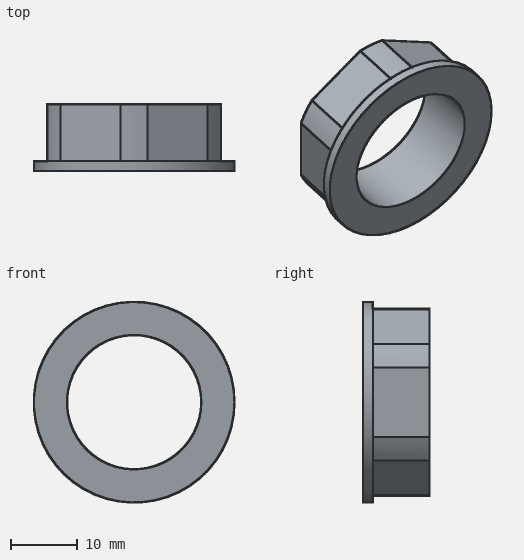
import cadquery as cq
import math

flange_diameter = 30.0
flange_thickness = 1.5
total_length = 10.0
bore_diameter = 20.0
across_flats = 26.0
corner_diameter = 28.0

hexagon_diameter = across_flats / math.cos(math.pi / 6)


def cylinder(diameter, length):
    """Solid cylinder from the flange face (Y = 0) toward +Y."""
    return cq.Workplane("XZ").circle(diameter / 2).extrude(-length)


def hexagonal_body():
    """Hexagon with flats facing +X and -X and corners trimmed to a circle."""
    hexagon = (
        cq.Workplane("XZ")
        .transformed(rotate=(0, 0, 30))
        .polygon(6, hexagon_diameter)
        .extrude(-total_length)
    )
    return hexagon.intersect(cylinder(corner_diameter, total_length))


flange = cylinder(flange_diameter, flange_thickness)
bore = cylinder(bore_diameter, total_length)
result = hexagonal_body().union(flange).cut(bore)